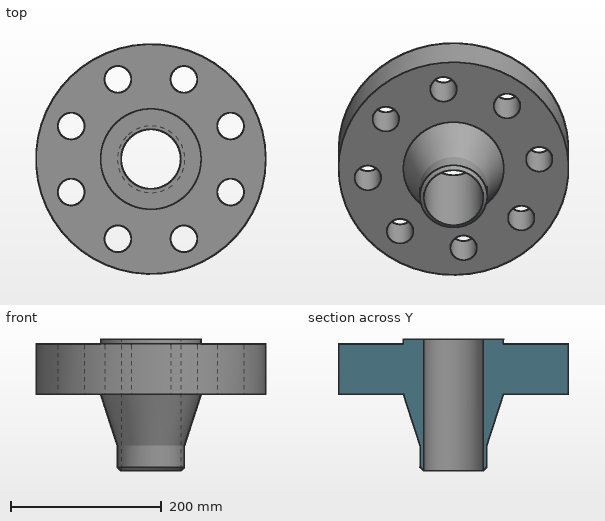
import cadquery as cq

total_height = 174.5
flange_thickness = 67.0
raised_face_height = 6.0
neck_height = 33.5
weld_bevel_height = 5.0

flange_diameter = 304.8
raised_face_diameter = 133.2
hub_base_diameter = 133.2
neck_diameter = 89.0
bore_diameter = 78.5

bolt_count = 8
bolt_hole_diameter = 35.0
bolt_circle_diameter = 228.5
bolt_pitch_angle = 360 / bolt_count

flange_top = total_height - raised_face_height
flange_bottom = flange_top - flange_thickness


def revolved_body():
    """Bored flange, tapered hub and neck, bevelled to a sharp edge at the bore."""
    bore_radius = bore_diameter / 2
    flange_radius = flange_diameter / 2
    face_radius = raised_face_diameter / 2
    neck_radius = neck_diameter / 2
    outline = [
        (bore_radius, 0),
        (neck_radius, weld_bevel_height),
        (neck_radius, neck_height),
        (hub_base_diameter / 2, flange_bottom),
        (flange_radius, flange_bottom),
        (flange_radius, flange_top),
        (face_radius, flange_top),
        (face_radius, total_height),
        (bore_radius, total_height),
    ]
    profile = cq.Workplane("XZ").polyline(outline).close()
    return profile.revolve(360, (0, 0, 0), (0, 1, 0))


def bolt_holes():
    """Ring of bolt holes through the flange."""
    return (
        cq.Workplane("XY", origin=(0, 0, flange_bottom))
        .polarArray(bolt_circle_diameter / 2, bolt_pitch_angle / 2, 360, bolt_count)
        .circle(bolt_hole_diameter / 2)
        .extrude(flange_thickness)
    )


result = revolved_body().cut(bolt_holes())